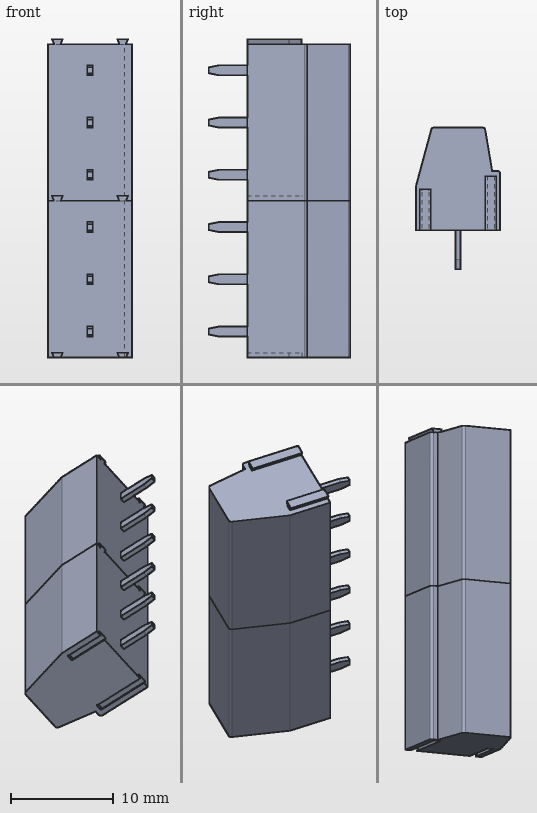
import cadquery as cq


BLOCK_COUNT = 2
PINS_PER_BLOCK = 3
PIN_PITCH = 5.08
BLOCK_HEIGHT = PINS_PER_BLOCK * PIN_PITCH

HOUSING_WIDTH = 8.2
HOUSING_DEPTH = 10.0
LEFT_WALL_DEPTH = 4.28
LEFT_SLOPE_INSET = 1.55
RIGHT_LEDGE_DEPTH = 5.8
RIGHT_LEDGE_WIDTH = 0.77
RIGHT_SLOPE_INSET = 1.5
CORNER_RADIUS = 0.28

PIN_LENGTH = 3.78
PIN_THICKNESS = 0.5
PIN_HEIGHT = 1.0
PIN_TIP_HEIGHT = 0.6
PIN_TIP_LENGTH = 1.0

RAIL_HEIGHT = 0.5
RAIL_WIDTH = 1.05
RAIL_FLARE = 0.2
RAIL_EDGE_MARGIN = 0.4
LEFT_RAIL_LENGTH = 4.0
RIGHT_RAIL_LENGTH = 5.27


def make_housing():
    """Prism with two sloping sides, a ledge on the right and rounded rear corners."""
    right = HOUSING_WIDTH / 2
    left = -right
    prism = (
        cq.Workplane("XY")
        .moveTo(left, 0)
        .lineTo(right, 0)
        .lineTo(right, RIGHT_LEDGE_DEPTH)
        .lineTo(right - RIGHT_LEDGE_WIDTH, RIGHT_LEDGE_DEPTH)
        .lineTo(right - RIGHT_SLOPE_INSET, HOUSING_DEPTH)
        .lineTo(left + LEFT_SLOPE_INSET, HOUSING_DEPTH)
        .lineTo(left, LEFT_WALL_DEPTH)
        .close()
        .extrude(BLOCK_HEIGHT)
    )
    rear_corners = prism.faces(">Y").edges("|Z")
    ledge_corner = prism.faces(">X").edges("|Z and >Y")
    return prism.newObject(rear_corners.vals() + ledge_corner.vals()).fillet(CORNER_RADIUS)


def make_rail(center_x, length, base_z):
    """Dovetail bar that widens upward, running back from the pin face."""
    half_top = RAIL_WIDTH / 2
    half_neck = half_top - RAIL_FLARE
    top_z = base_z + RAIL_HEIGHT
    return (
        cq.Workplane("XZ")
        .moveTo(center_x - half_neck, base_z)
        .lineTo(center_x + half_neck, base_z)
        .lineTo(center_x + half_top, top_z)
        .lineTo(center_x - half_top, top_z)
        .close()
        .extrude(-length)
    )


def make_rail_pair(base_z):
    """The shorter left rail and the longer right rail."""
    rail_x = HOUSING_WIDTH / 2 - RAIL_EDGE_MARGIN - RAIL_WIDTH / 2
    left_rail = make_rail(-rail_x, LEFT_RAIL_LENGTH, base_z)
    right_rail = make_rail(rail_x, RIGHT_RAIL_LENGTH, base_z)
    return left_rail.add(right_rail).combine()


def make_pin(center_z):
    """Flat pin along -Y whose end tapers in height."""
    half_height = PIN_HEIGHT / 2
    half_tip = PIN_TIP_HEIGHT / 2
    taper_y = PIN_TIP_LENGTH - PIN_LENGTH
    return (
        cq.Workplane("YZ", origin=(0, 0, center_z))
        .moveTo(0, -half_height)
        .lineTo(taper_y, -half_height)
        .lineTo(-PIN_LENGTH, -half_tip)
        .lineTo(-PIN_LENGTH, half_tip)
        .lineTo(taper_y, half_height)
        .lineTo(0, half_height)
        .close()
        .extrude(PIN_THICKNESS / 2, both=True)
    )


def make_terminal_block():
    """One complete block standing on Z = 0."""
    block = make_housing().cut(make_rail_pair(0)).union(make_rail_pair(BLOCK_HEIGHT))
    for index in range(PINS_PER_BLOCK):
        block = block.union(make_pin((index + 0.5) * PIN_PITCH))
    return block


terminal_blocks = []
for level in range(BLOCK_COUNT):
    block = make_terminal_block().translate((0, 0, level * BLOCK_HEIGHT))
    terminal_blocks.append(block.val())

result = cq.Compound.makeCompound(terminal_blocks)